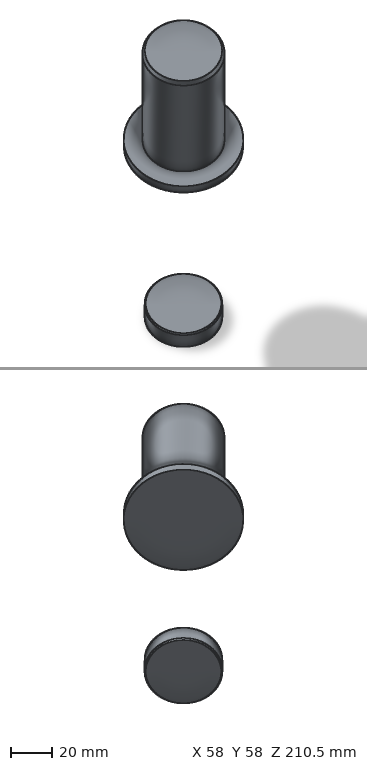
import cadquery as cq

total_height = 210.5

flange_diameter = 58.0
flange_thickness = 5.0
shank_diameter = 40.0
pin_height = 75.0
pin_chamfer_height = 2.0
pin_chamfer_width = 1.3

disc_diameter = 37.9
disc_thickness = 11.0
disc_chamfer_height = 0.8
disc_chamfer_width = 0.6


def make_pin():
    """Round shank on a flange, chamfered at the top; the flange bottom is at Z = 0."""
    flange = cq.Workplane("XY").circle(flange_diameter / 2).extrude(flange_thickness)
    shank = (
        cq.Workplane("XY")
        .circle(shank_diameter / 2)
        .extrude(pin_height)
        .faces(">Z")
        .chamfer(pin_chamfer_height, pin_chamfer_width)
    )
    return flange.union(shank)


def make_disc():
    """Disc with both rims chamfered; its bottom is at Z = 0."""
    return (
        cq.Workplane("XY")
        .circle(disc_diameter / 2)
        .extrude(disc_thickness)
        .faces("<Z or >Z")
        .chamfer(disc_chamfer_height, disc_chamfer_width)
    )


disc = make_disc()
pin = make_pin().translate((0, 0, total_height - pin_height))

result = cq.Compound.makeCompound([pin.val(), disc.val()])